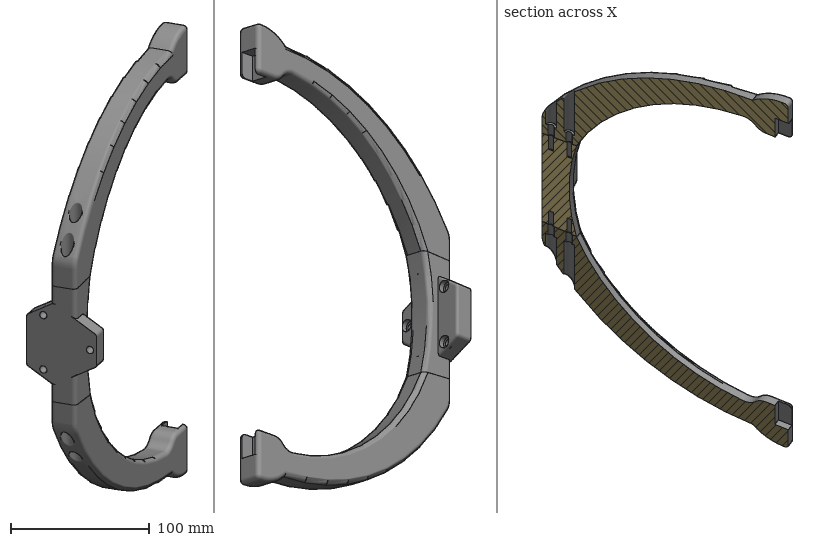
import cadquery as cq
import math


bow_width = 20.0
bow_reach = 205.0
bow_half_height = 175.0
selection_margin = 0.5
edge_radius = 3.5
back_corner_z = 65.0
back_corner_radius = 15.0
outer_curve_mid = (85.0, 143.5)
hub_inner_y = 22.7

joint_back = (0.0, 45.0)
joint_inner = (29.0, 46.5)

foot_height = 38.5
foot_inner_z = bow_half_height - foot_height
foot_neck_outer = (175.2, 165.0)
foot_bulge_radius = 38.5
foot_flat_end_y = 186.5
foot_inflection = (177.7, 140.3)
foot_neck_inner = (167.0, 144.5)
slot_width = 13.0
slot_depth = 11.2
slot_length = foot_height / 2

bolt_head_diameter = 9.0
bolt_clearance_diameter = 5.5
bolt_thread_diameter = 4.5
bolt_y_positions = (7.7, 22.7)
bolt_mouth_radius = 0.7
bolt_seat_z = 56.0
bolt_thread_end_z = 31.5

plate_center_x = -3.5
plate_thickness = 14.5
plate_near_apothem = 25.5
plate_far_apothem = 29.7
plate_corner_radius = 3.0
plate_back_radius = 2.0
plate_bolt_circle_radius = 24.5
plate_bolt_angles = (0, 120, 240)
plate_hole_diameter = 5.5
plate_counterbore_diameter = 9.0
plate_counterbore_depth = 4.5


def flipped(point):
    """The same (Y, Z) point on the lower half of the bow."""
    return point[0], -point[1]


def long_edges(z_low, z_high):
    """Selector for the edges centred between two heights."""
    return cq.selectors.BoxSelector((-bow_width, -3.5, z_low), (bow_width, bow_reach + 3.5, z_high))


def make_arm_blank():
    """Upper arm with rounded long edges, from its joint to its foot tip."""
    bulge_center_z = bow_half_height - foot_bulge_radius
    bulge_rise = foot_neck_outer[1] - bulge_center_z
    bulge_center = (
        foot_neck_outer[0] + math.sqrt(foot_bulge_radius**2 - bulge_rise**2),
        bulge_center_z,
    )
    bulge_mid_angle = (math.asin(bulge_rise / foot_bulge_radius) + math.pi / 2) / 2
    bulge_mid = (
        bulge_center[0] - foot_bulge_radius * math.cos(bulge_mid_angle),
        bulge_center[1] + foot_bulge_radius * math.sin(bulge_mid_angle),
    )
    arm = (
        cq.Workplane("YZ")
        .moveTo(bow_reach, bow_half_height)
        .lineTo(bow_reach, foot_inner_z)
        .lineTo(foot_flat_end_y, foot_inner_z)
        .tangentArcPoint(foot_inflection, relative=False)
        .tangentArcPoint(foot_neck_inner, relative=False)
        .tangentArcPoint(joint_inner, relative=False)
        .lineTo(*joint_back)
        .lineTo(0, back_corner_z)
        .threePointArc(outer_curve_mid, foot_neck_outer)
        .threePointArc(bulge_mid, (bulge_center[0], bow_half_height))
        .close()
        .extrude(bow_width / 2, both=True)
    )
    back_corner = cq.selectors.NearestToPointSelector((0, 0, back_corner_z))
    arm = arm.edges("|X").edges(back_corner).fillet(back_corner_radius)
    arm = arm.faces(">Y").edges("|X").fillet(edge_radius)
    above_joint = long_edges(joint_inner[1], bow_half_height + 3.5)
    return arm.faces("<X or >X").edges(above_joint).fillet(edge_radius)


def make_hub_blank():
    """Middle stretch of the bow with rounded long edges, between the two joints."""
    hub = (
        cq.Workplane("YZ")
        .moveTo(*flipped(joint_back))
        .lineTo(*joint_back)
        .lineTo(*joint_inner)
        .threePointArc((hub_inner_y, 0), flipped(joint_inner))
        .close()
        .extrude(bow_width / 2, both=True)
    )
    between_joints = long_edges(-joint_back[1], joint_back[1])
    return hub.faces("<X or >X").edges(between_joints).fillet(edge_radius)


def make_bolt_cylinders(diameter, z_start, z_end):
    """Upright cylinders on both joint bolt axes."""
    return (
        cq.Workplane("XY", origin=(0, 0, z_start))
        .pushPoints([(0, y) for y in bolt_y_positions])
        .circle(diameter / 2)
        .extrude(z_end - z_start)
    )


def make_plate():
    """Mounting plate with three counterbored holes; its seating face is on Y = 0."""
    corner_radius = math.sqrt(
        plate_near_apothem**2 + plate_far_apothem**2 - plate_near_apothem * plate_far_apothem
    ) / math.sin(math.radians(60))
    corner_offset = math.degrees(math.acos(plate_far_apothem / corner_radius))
    corners = []
    for bolt_angle in plate_bolt_angles:
        for side in (-1, 1):
            angle = math.radians(bolt_angle + side * corner_offset)
            corners.append((corner_radius * math.cos(angle), corner_radius * math.sin(angle)))

    seating_face = cq.Workplane("XZ", origin=(plate_center_x, 0, 0))
    plate = seating_face.polyline(corners).close().extrude(-plate_thickness)
    plate = plate.edges("|Y").fillet(plate_corner_radius)
    plate = plate.faces(">Y").edges().fillet(plate_back_radius)
    return plate


def make_plate_hole_cutter():
    """Through holes with counterbores on the +Y side of the plate."""
    hole_points = []
    for angle in plate_bolt_angles:
        hole_points.append((
            plate_bolt_circle_radius * math.cos(math.radians(angle)),
            plate_bolt_circle_radius * math.sin(math.radians(angle)),
        ))
    seating_face = cq.Workplane("XZ", origin=(plate_center_x, 0, 0))
    holes = (
        seating_face.pushPoints(hole_points)
        .circle(plate_hole_diameter / 2)
        .extrude(-plate_thickness)
    )
    counterbores = (
        seating_face.workplane(offset=-plate_thickness)
        .pushPoints(hole_points)
        .circle(plate_counterbore_diameter / 2)
        .extrude(plate_counterbore_depth)
    )
    return holes.union(counterbores)


def make_hub():
    """Middle of the bow, with the plate and the threaded bolt holes."""
    threads = make_bolt_cylinders(bolt_thread_diameter, bolt_thread_end_z, back_corner_z)
    return (
        make_hub_blank()
        .union(make_plate())
        .cut(make_plate_hole_cutter())
        .cut(threads)
        .cut(threads.mirror("XY"))
    )


def make_upper_arm():
    """Upper arm with its counterbored bolt holes and the slot in its foot."""
    slot = cq.Workplane("XY", origin=(0, bow_reach, foot_inner_z)).box(
        slot_width, 2 * slot_depth, 2 * slot_length
    )
    arm = (
        make_arm_blank()
        .cut(make_bolt_cylinders(bolt_clearance_diameter, 0, bolt_seat_z))
        .cut(make_bolt_cylinders(bolt_head_diameter, bolt_seat_z, bow_half_height))
    )
    clear_radius = bolt_head_diameter / 2 + selection_margin
    mouth_zone = cq.selectors.BoxSelector(
        (-clear_radius, 0, bolt_seat_z + selection_margin),
        (clear_radius, bolt_y_positions[-1] + clear_radius, bow_half_height),
        boundingbox=True,
    )
    mouth_edges = arm.edges(mouth_zone).edges("not %line")
    return mouth_edges.fillet(bolt_mouth_radius).cut(slot)


hub = make_hub()
upper_arm = make_upper_arm()
lower_arm = upper_arm.mirror("XY")

result = cq.Compound.makeCompound([hub.val(), upper_arm.val(), lower_arm.val()])